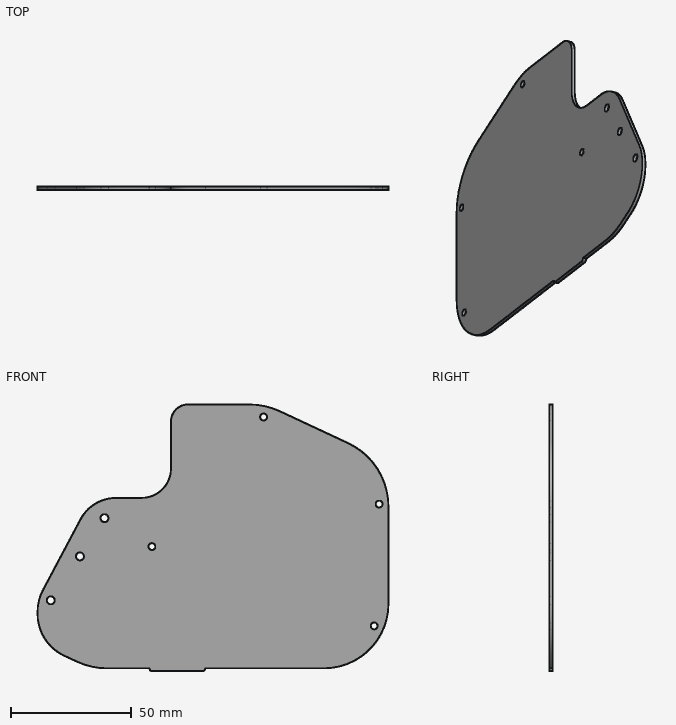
import cadquery as cq
import math

length = 145.3
height = 110.5
thickness = 1.6

bottom_edge = 1.2
step_x = 55.2
shoulder_z = 71.8
top_slope_start = 94.3
top_slope_end = 86.6
left_slope_top = 22.5
left_slope_bottom = 29.4
lower_slope_top = 11.5
lower_slope_end = 22.4

tab_start = 46.4
tab_end = 69.5
tab_corner_radius = bottom_edge

small_hole_diameter = 2.8
large_hole_diameter = 3.2
small_holes = [(93.6, 105.2), (141.4, 69.2), (139.4, 18.7), (47.4, 51.6)]
large_holes = [(27.8, 63.4), (17.6, 47.5), (5.5, 29.4)]

corners = [
    (0, lower_slope_top, 19.2),
    (0, left_slope_bottom, 19.2),
    (left_slope_top, shoulder_z, 16.7),
    (step_x, shoulder_z, 12.0),
    (step_x, height, 7.1),
    (top_slope_start, height, 29.8),
    (length, top_slope_end, 29.0),
    (length, bottom_edge, 26.7),
    (lower_slope_end, bottom_edge, 29.0),
]


def unit_vector(start, end):
    distance = math.dist(start, end)
    return ((end[0] - start[0]) / distance, (end[1] - start[1]) / distance)


def corner_arc(before, corner, after):
    """Start, middle and end of the arc that rounds a corner."""
    point = corner[:2]
    radius = corner[2]
    back = unit_vector(point, before[:2])
    ahead = unit_vector(point, after[:2])
    half_angle = math.acos(back[0] * ahead[0] + back[1] * ahead[1]) / 2
    setback = radius / math.tan(half_angle)
    middle_distance = radius / math.sin(half_angle) - radius
    bisector = unit_vector((0, 0), (back[0] + ahead[0], back[1] + ahead[1]))

    def offset(direction, distance):
        return (point[0] + distance * direction[0], point[1] + distance * direction[1])

    return offset(back, setback), offset(bisector, middle_distance), offset(ahead, setback)


def plate_body():
    arcs = []
    for index, corner in enumerate(corners):
        following = corners[(index + 1) % len(corners)]
        arcs.append(corner_arc(corners[index - 1], corner, following))
    outline = cq.Workplane("XZ").moveTo(*arcs[0][0])
    for index, (start, middle, end) in enumerate(arcs):
        if index > 0:
            outline = outline.lineTo(*start)
        outline = outline.threePointArc(middle, end)
    return outline.close().extrude(-thickness)


def locating_tab():
    overlap = 2.9
    tab = cq.Workplane("XZ").moveTo(tab_start, bottom_edge + overlap)
    tab = tab.lineTo(tab_start, tab_corner_radius)
    tab = tab.radiusArc((tab_start + tab_corner_radius, 0), -tab_corner_radius)
    tab = tab.lineTo(tab_end - tab_corner_radius, 0)
    tab = tab.radiusArc((tab_end, tab_corner_radius), -tab_corner_radius)
    return tab.lineTo(tab_end, bottom_edge + overlap).close().extrude(-thickness)


def screw_holes(centers, diameter):
    return cq.Workplane("XZ").pushPoints(centers).circle(diameter / 2).extrude(-thickness)


result = plate_body().union(locating_tab())
result = result.cut(screw_holes(small_holes, small_hole_diameter))
result = result.cut(screw_holes(large_holes, large_hole_diameter))